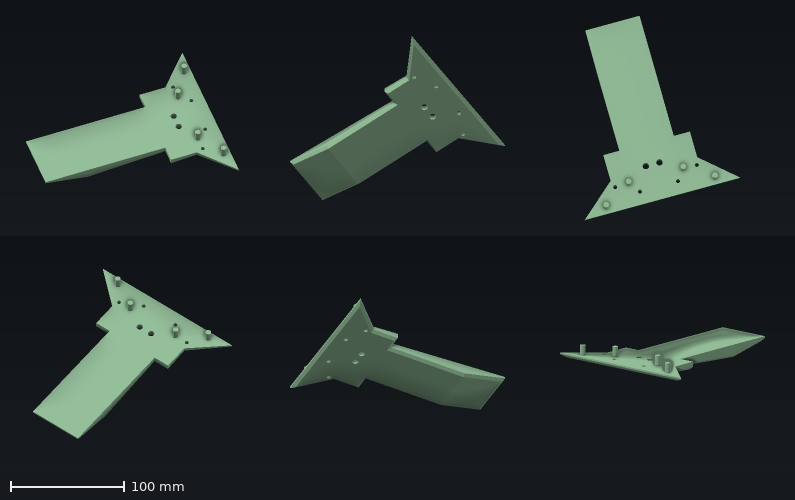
import cadquery as cq

length = 165.0
rear_width = 142.9
shoulder_width = 79.4
stem_width = 49.8
flare_length = 28.0
shoulder_end = 52.1

end_depth = 4.0
keel_depth = 11.9
keel_distance = 125.0
chamfer_size = 2.5

pin_diameter = 5.0
pin_height = 9.0
row_distance = 21.5
pin_places = [(50.0, 6.5), (25.0, row_distance)]
small_hole_diameter = 3.6
small_hole_places = [(17.5, 11.7), (37.5, row_distance)]
large_hole_diameter = 5.8
large_hole_places = [(6.3, 32.5)]


def mirrored_points(places):
    """Place each feature on both sides of the centreline."""
    return [(side * x, -distance) for x, distance in places for side in (-1, 1)]


def make_body():
    """Intersect the plan with the shallow keel profile, then chamfer its underside."""
    half_plan = [
        (rear_width / 2, 0),
        (shoulder_width / 2, -flare_length),
        (shoulder_width / 2, -shoulder_end),
        (stem_width / 2, -shoulder_end),
        (stem_width / 2, -length),
    ]
    other_half = [(-x, y) for x, y in reversed(half_plan)]
    plan = cq.Workplane("XY").polyline(half_plan + other_half).close().extrude(-keel_depth)
    side_outline = [
        (0, 0),
        (0, -end_depth),
        (-keel_distance, -keel_depth),
        (-length, -end_depth),
        (-length, 0),
    ]
    profile = cq.Workplane("YZ").polyline(side_outline).close().extrude(rear_width / 2, both=True)
    body = plan.intersect(profile)
    sloped_faces = body.faces("not (#Z or +Z)")
    rim = sloped_faces.edges("not <Z")
    return rim.chamfer(chamfer_size)


def drill(body, places, diameter):
    """Cut vertical holes through the full depth."""
    drills = cq.Workplane("XY").pushPoints(mirrored_points(places)).circle(diameter / 2).extrude(-keel_depth)
    return body.cut(drills)


pins = cq.Workplane("XY").pushPoints(mirrored_points(pin_places)).circle(pin_diameter / 2).extrude(pin_height)

result = make_body().union(pins)
result = drill(result, small_hole_places, small_hole_diameter)
result = drill(result, large_hole_places, large_hole_diameter)